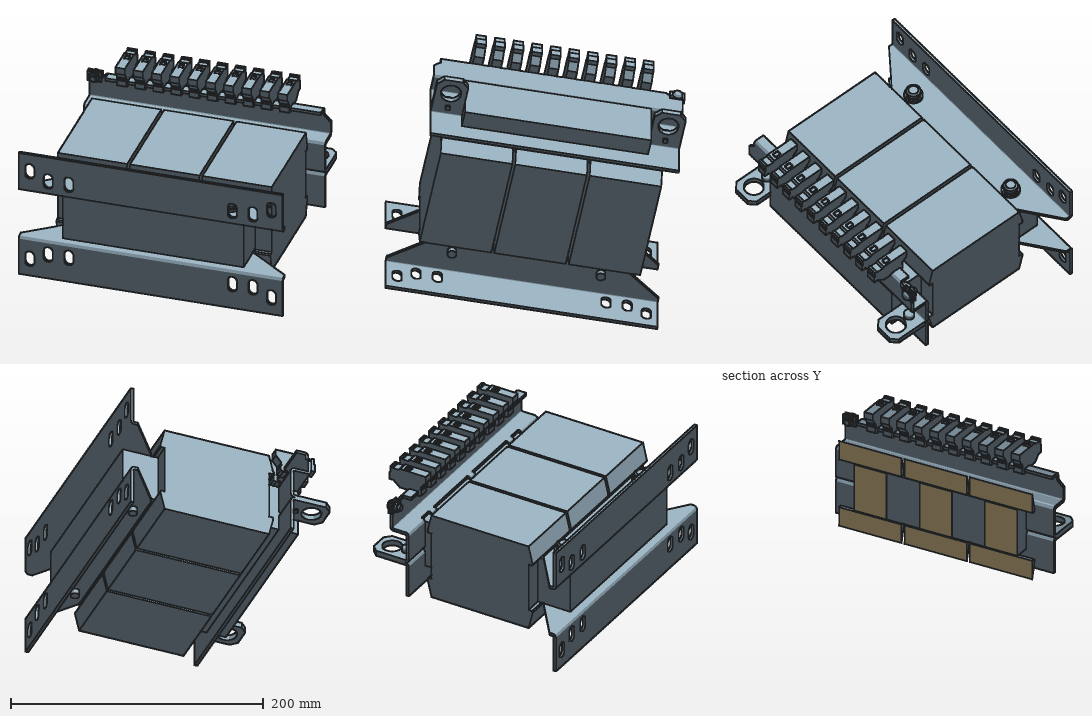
import cadquery as cq


SHEET = 2.5
BEND_OUTER = 3.3
BEND_INNER = BEND_OUTER - SHEET
EDGE_REACH = 0.2

CORE_SIZE = 150.0
CORE_Y = 82.3
CORE_HALF_Z = 20.8
LEG_WIDTH = CORE_SIZE / 5
LEG_PITCH = 2 * LEG_WIDTH
LEG_XS = (-LEG_PITCH, 0, LEG_PITCH)

COIL_WIDTH = 57.5
COIL_Y = 82.1
COIL_HALF_Y = 44.7
COIL_HALF_Z = 38.3
FLAP_TIP_REACH = 3.7
FLAP_HEEL_REACH = 3.0
FLAP_TIP_Z = 22.5
FLAP_HEEL_Z = 21.2

BRACKET_LENGTH = 219
BRACKET_HALF_Z = 55.5
BRACKET_DEPTH = 31.8
BRACKET_END_DEPTH = 6.0
SLOT_WIDTH = 7.7
SLOT_LENGTH = 13.4
SLOT_PLACES = ((100.3, 40.0), (85.0, 33.5), (67.9, 33.5))

BOLT_Y = 22.1
BOLT_SHANK_DIAMETER = 7.0
BOLT_SHANK_END_Z = -27.8
BOLT_WASHER_DIAMETER = 15.0
BOLT_WASHER_HEIGHT = 2.2
BOLT_SPRING_DIAMETER = 11.4
BOLT_SPRING_HEIGHT = 1.8
BOLT_HEAD_DIAMETER = 11.5
BOLT_HEAD_HEIGHT = 4.2
BOLT_HEAD_TOP_DIAMETER = 7.9
BOLT_HEAD_CONE_HEIGHT = 0.9

RAIL_LENGTH = 200.2
RAIL_FRONT_Y = 140.8
RAIL_WALL_Y = 158.1
RAIL_TOP_Z = 45.8
RAIL_LIP_Y = 148.0
RAIL_LIP_X_MIN = -84.5
RAIL_LIP_X_MAX = 94.4
RAIL_STEP_X = -89.8
RAIL_STEP_Z = 40.7
RAIL_CORNER_Z = 33.7
RAIL_TAB_WIDTH = 7.9
LUG_OUTER_Y = 176.0
LUG_MEET_Z = -5.3
LUG_CORNER = 5.0
LUG_HOLE_DIAMETER = 16.0
LUG_HOLE_Y = 163.5
LOWER_WALL_END_Z = -36.0

LUG_SCREW_Y = 150.0
LUG_SCREW_HEAD_DIAMETER = 8.3
LUG_SCREW_HEAD_HEIGHT = 4.0
LUG_SCREW_HEAD_ROUNDING = 1.3
LUG_SCREW_SHANK_DIAMETER = 4.0
LUG_SCREW_SHANK_END_Z = -9.5
EARTH_X = -95.7
EARTH_Z = 41.5
EARTH_HEAD_DIAMETER = 8.0
EARTH_HEAD_HEIGHT = 3.0
EARTH_HEAD_ROUNDING = 2.6
EARTH_SHANK_DIAMETER = 4.8
EARTH_SHANK_END_Y = 150.5
EARTH_PLATE_WIDTH = 11.8
EARTH_PLATE_HEIGHT = 8.3
EARTH_PLATE_THICKNESS = 0.9
EARTH_NUT_DIAMETER = 8.3
EARTH_NUT_THICKNESS = 2.0

TERMINAL_COUNT = 10
TERMINAL_WIDTH = 7.9
TERMINAL_ROW_LENGTH = 135.0
TERMINAL_PITCH = TERMINAL_ROW_LENGTH / (TERMINAL_COUNT - 1)
TERMINAL_MIDDLE_X = -2.5
TERMINAL_TOP_Z = 61.5
TERMINAL_POCKET = (3.7, 5.0, 1.0)
TERMINAL_POCKET_Y = 159.0


def box(x_range, y_range, z_range):
    """Box between the given pairs of limits."""
    spans = [high - low for low, high in (x_range, y_range, z_range)]
    corner = (x_range[0], y_range[0], z_range[0])
    return cq.Workplane("XY").box(*spans, centered=False).translate(corner)


def along_x(points, x_range):
    """Extrude a closed (Y, Z) outline between two X positions."""
    x_min, x_max = x_range
    return cq.Workplane("YZ", origin=(x_min, 0, 0)).polyline(points).close().extrude(x_max - x_min)


def rounded_bends(sheet, outer_bends, inner_bends):
    """Round the X-running edges of a bent sheet at the given (Y, Z) bends."""
    for bends, radius in ((outer_bends, BEND_OUTER), (inner_bends, BEND_INNER)):
        for y, z in bends:
            near = cq.selectors.BoxSelector(
                (-BRACKET_LENGTH, y - EDGE_REACH, z - EDGE_REACH),
                (BRACKET_LENGTH, y + EDGE_REACH, z + EDGE_REACH),
            )
            sheet = sheet.edges("|X").edges(near).fillet(radius)
    return sheet


def disc(diameter, z_range, place):
    """Upright cylinder at an (X, Y) place."""
    low, high = z_range
    return cq.Workplane("XY", origin=(*place, low)).circle(diameter / 2).extrude(high - low)


def make_core():
    half = CORE_SIZE / 2
    core = box((-half, half), (CORE_Y - half, CORE_Y + half), (-CORE_HALF_Z, CORE_HALF_Z))
    windows = (
        cq.Workplane("XY")
        .pushPoints([(-LEG_PITCH / 2, CORE_Y), (LEG_PITCH / 2, CORE_Y)])
        .rect(LEG_WIDTH, CORE_SIZE - 2 * LEG_WIDTH)
        .extrude(CORE_HALF_Z, both=True)
    )
    return core.cut(windows)


def make_coil(x):
    """Coil with sloped flaps that overhang the core yokes above and below."""
    quarter = [
        (COIL_HALF_Y, FLAP_HEEL_Z),
        (COIL_HALF_Y + FLAP_HEEL_REACH, FLAP_HEEL_Z),
        (COIL_HALF_Y + FLAP_TIP_REACH, FLAP_TIP_Z),
        (COIL_HALF_Y, COIL_HALF_Z),
    ]
    back = quarter + [(-y, z) for y, z in reversed(quarter)]
    outline = back + [(-y, -z) for y, z in back]
    points = [(COIL_Y + y, z) for y, z in outline]
    return along_x(points, (x - COIL_WIDTH / 2, x + COIL_WIDTH / 2))


def make_mounting_bracket():
    """Upper angle: tapered flange on the core and a slotted upright wall."""
    half = BRACKET_LENGTH / 2
    flange_top = CORE_HALF_Z + SHEET
    outline = [
        (0, CORE_HALF_Z),
        (BRACKET_DEPTH, CORE_HALF_Z),
        (BRACKET_DEPTH, flange_top),
        (SHEET, flange_top),
        (SHEET, BRACKET_HALF_Z),
        (0, BRACKET_HALF_Z),
    ]
    angle = along_x(outline, (-half, half))
    angle = rounded_bends(angle, [(0, CORE_HALF_Z)], [(SHEET, flange_top)])
    taper_outline = [
        (half, BRACKET_END_DEPTH),
        (half, BRACKET_DEPTH),
        (CORE_SIZE / 2, BRACKET_DEPTH),
    ]
    taper = (
        cq.Workplane("XY", origin=(0, 0, CORE_HALF_Z)).polyline(taper_outline).close().extrude(SHEET)
    )
    angle = angle.cut(taper).cut(taper.mirror("YZ"))
    places = [(side * x, z) for x, z in SLOT_PLACES for side in (-1, 1)]
    slots = (
        cq.Workplane("XZ").pushPoints(places).slot2D(SLOT_LENGTH, SLOT_WIDTH, 90).extrude(-SHEET)
    )
    return angle.cut(slots)


def make_core_bolt(x):
    place = (x, BOLT_Y)
    seat_z = CORE_HALF_Z + SHEET
    washer_top = seat_z + BOLT_WASHER_HEIGHT
    head_base = washer_top + BOLT_SPRING_HEIGHT
    cone_base = head_base + BOLT_HEAD_HEIGHT - BOLT_HEAD_CONE_HEIGHT
    cone = (
        cq.Workplane("XY", origin=(x, BOLT_Y, cone_base))
        .circle(BOLT_HEAD_DIAMETER / 2)
        .workplane(offset=BOLT_HEAD_CONE_HEIGHT)
        .circle(BOLT_HEAD_TOP_DIAMETER / 2)
        .loft()
    )
    return (
        disc(BOLT_SHANK_DIAMETER, (BOLT_SHANK_END_Z, seat_z), place)
        .union(disc(BOLT_WASHER_DIAMETER, (seat_z, washer_top), place))
        .union(disc(BOLT_SPRING_DIAMETER, (washer_top, head_base), place))
        .union(disc(BOLT_HEAD_DIAMETER, (head_base, cone_base), place))
        .union(cone)
    )


def lug_cutouts(z_range):
    """Material missing around the lugs: core passage, cut corners, lifting holes."""
    inner_x = CORE_SIZE / 2
    outer_x = RAIL_LENGTH / 2
    area = box((inner_x, outer_x), (RAIL_FRONT_Y, LUG_OUTER_Y), z_range)
    plate = area.edges("|Z and >Y").chamfer(LUG_CORNER)
    hole = disc(LUG_HOLE_DIAMETER, z_range, ((inner_x + outer_x) / 2, LUG_HOLE_Y))
    cutouts = area.cut(plate).union(hole)
    passage = box((-inner_x, inner_x), (RAIL_FRONT_Y, LUG_OUTER_Y), z_range)
    return passage.union(cutouts).union(cutouts.mirror("YZ"))


def make_rail_bracket():
    """Upper bracket: lugs, end walls, shelf over the core and terminal wall."""
    half = RAIL_LENGTH / 2
    shelf_z = (CORE_HALF_Z, CORE_HALF_Z + SHEET)
    lug_z = (LUG_MEET_Z, LUG_MEET_Z + SHEET)
    front_y = (RAIL_FRONT_Y, RAIL_FRONT_Y + SHEET)
    wall_y = (RAIL_WALL_Y - SHEET, RAIL_WALL_Y)

    shelf = box((-half, half), (RAIL_FRONT_Y, RAIL_WALL_Y), shelf_z)
    front_wall = box((-half, half), front_y, (lug_z[0], shelf_z[1]))
    wall = box((-half, half), wall_y, (shelf_z[0], RAIL_TOP_Z))
    lip = box((-half, half), (RAIL_LIP_Y, RAIL_WALL_Y), (RAIL_TOP_Z - SHEET, RAIL_TOP_Z))
    lugs = box((-half, half), (RAIL_FRONT_Y, LUG_OUTER_Y), lug_z)
    bracket = shelf.union(front_wall).union(wall).union(lip).union(lugs)
    bracket = rounded_bends(
        bracket,
        [
            (RAIL_FRONT_Y, lug_z[0]),
            (RAIL_FRONT_Y, shelf_z[1]),
            (RAIL_WALL_Y, shelf_z[0]),
            (RAIL_WALL_Y, RAIL_TOP_Z),
        ],
        [
            (front_y[1], lug_z[1]),
            (front_y[1], shelf_z[0]),
            (wall_y[0], shelf_z[1]),
            (wall_y[0], RAIL_TOP_Z - SHEET),
        ],
    )
    return bracket.cut(lug_cutouts(lug_z)).cut(rail_openings())


def rail_openings():
    """Material missing from the rail bracket: core passage, lip ends, wall ends."""
    half = RAIL_LENGTH / 2
    passage_y = (RAIL_FRONT_Y, RAIL_FRONT_Y + BEND_OUTER)
    core_x = (-CORE_SIZE / 2, CORE_SIZE / 2)
    openings = box(core_x, passage_y, (LUG_MEET_Z, CORE_HALF_Z + SHEET))
    for x in LEG_XS:
        tab_x = (x - RAIL_TAB_WIDTH / 2, x + RAIL_TAB_WIDTH / 2)
        openings = openings.cut(box(tab_x, passage_y, (CORE_HALF_Z, CORE_HALF_Z + SHEET)))

    lip_y = (RAIL_LIP_Y, RAIL_WALL_Y - SHEET)
    lip_z = (RAIL_TOP_Z - BEND_OUTER, RAIL_TOP_Z)
    for lip_end in ((-half, RAIL_LIP_X_MIN), (RAIL_LIP_X_MAX, half)):
        openings = openings.union(box(lip_end, lip_y, lip_z))

    corner_rise = half - RAIL_LIP_X_MAX
    corner_outline = [
        (half, RAIL_CORNER_Z),
        (half, RAIL_TOP_Z),
        (RAIL_LIP_X_MAX, RAIL_TOP_Z),
        (RAIL_LIP_X_MAX, RAIL_CORNER_Z + corner_rise),
    ]
    earth_outline = [
        (-half, RAIL_STEP_Z),
        (RAIL_STEP_X, RAIL_STEP_Z),
        (RAIL_LIP_X_MIN, RAIL_TOP_Z),
        (-half, RAIL_TOP_Z),
    ]
    for outline in (corner_outline, earth_outline):
        wall_face = cq.Workplane("XZ", origin=(0, RAIL_WALL_Y, 0))
        openings = openings.union(wall_face.polyline(outline).close().extrude(SHEET))
    return openings


def make_lower_bracket():
    """Lower bracket: lugs under the upper ones and a wall passing below the core."""
    half = RAIL_LENGTH / 2
    lug_z = (LUG_MEET_Z - SHEET, LUG_MEET_Z)
    wall_y = (RAIL_FRONT_Y, RAIL_FRONT_Y + SHEET)
    wall = box((-half, half), wall_y, (LOWER_WALL_END_Z, LUG_MEET_Z))
    bracket = rounded_bends(
        wall.union(box((-half, half), (RAIL_FRONT_Y, LUG_OUTER_Y), lug_z)),
        [(RAIL_FRONT_Y, LUG_MEET_Z)],
        [(wall_y[1], lug_z[0])],
    )
    core_x = (-CORE_SIZE / 2, CORE_SIZE / 2)
    passage = box(core_x, wall_y, (-CORE_HALF_Z, LUG_MEET_Z))
    return bracket.cut(lug_cutouts(lug_z)).cut(passage)


def make_lug_screw(x):
    place = (x, LUG_SCREW_Y)
    seat_z = LUG_MEET_Z + SHEET
    head = disc(LUG_SCREW_HEAD_DIAMETER, (seat_z, seat_z + LUG_SCREW_HEAD_HEIGHT), place)
    head = head.edges(">Z").fillet(LUG_SCREW_HEAD_ROUNDING)
    return head.union(disc(LUG_SCREW_SHANK_DIAMETER, (LUG_SCREW_SHANK_END_Z, seat_z), place))


def make_earth_screw():
    """Earth screw across the terminal wall, with clamping plates and a nut."""

    def round_part(diameter, y_min, y_max):
        start = cq.Workplane("XZ", origin=(EARTH_X, y_max, EARTH_Z))
        return start.circle(diameter / 2).extrude(y_max - y_min)

    def plate(y_min, y_max):
        start = cq.Workplane("XZ", origin=(EARTH_X, y_max, EARTH_Z))
        return start.rect(EARTH_PLATE_WIDTH, EARTH_PLATE_HEIGHT).extrude(y_max - y_min)

    back_y = RAIL_WALL_Y
    front_y = RAIL_WALL_Y - SHEET
    head_y = back_y + EARTH_PLATE_THICKNESS
    nut_y = front_y - EARTH_PLATE_THICKNESS
    head = round_part(EARTH_HEAD_DIAMETER, head_y, head_y + EARTH_HEAD_HEIGHT)
    return (
        head.edges(">Y").fillet(EARTH_HEAD_ROUNDING)
        .union(plate(back_y, head_y))
        .union(plate(nut_y, front_y))
        .union(round_part(EARTH_NUT_DIAMETER, nut_y - EARTH_NUT_THICKNESS, nut_y))
        .union(round_part(EARTH_SHANK_DIAMETER, EARTH_SHANK_END_Y, back_y))
    )


def make_terminal(x):
    """Terminal block clipped over the lip of the rail."""
    outline = [
        (140.8, TERMINAL_TOP_Z),
        (164.5, TERMINAL_TOP_Z),
        (166.0, 60.2),
        (171.3, 60.2),
        (171.7, 61.0),
        (173.7, 61.0),
        (173.5, 56.5),
        (174.3, 55.5),
        (174.3, 49.0),
        (170.5, 49.0),
        (164.7, 44.0),
        (150.7, 44.0),
        (150.7, 41.6),
        (147.2, 41.6),
        (145.0, 42.7),
        (145.0, 47.5),
        (145.9, 48.2),
        (145.0, 49.0),
        (145.5, 50.2),
        (140.8, 55.8),
    ]
    block = along_x(outline, (x - TERMINAL_WIDTH / 2, x + TERMINAL_WIDTH / 2))
    pocket_depth = TERMINAL_POCKET[2]
    pocket = cq.Workplane("XY").box(*TERMINAL_POCKET)
    pocket_z = TERMINAL_TOP_Z - pocket_depth / 2
    return block.cut(pocket.translate((x, TERMINAL_POCKET_Y, pocket_z)))


mounting_bracket = make_mounting_bracket()
parts = [
    mounting_bracket,
    mounting_bracket.mirror("XY"),
    make_rail_bracket(),
    make_lower_bracket(),
    make_earth_screw(),
]
for leg_x in LEG_XS:
    parts.append(make_coil(leg_x))
for side_x in (-LEG_PITCH, LEG_PITCH):
    parts.append(make_core_bolt(side_x))
lug_middle_x = (CORE_SIZE + RAIL_LENGTH) / 4
for side_x in (-lug_middle_x, lug_middle_x):
    parts.append(make_lug_screw(side_x))
for index in range(TERMINAL_COUNT):
    step = index - (TERMINAL_COUNT - 1) / 2
    parts.append(make_terminal(TERMINAL_MIDDLE_X + step * TERMINAL_PITCH))

result = make_core()
for part in parts:
    result = result.union(part)